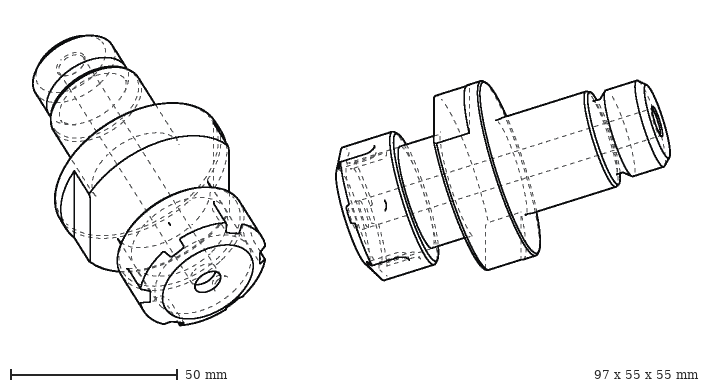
import cadquery as cq
import math


overall_length = 97.0
flange_start = 46.85
flange_end = 63.0
nut_start = 76.8

bore_radius = 4.3
bore_chamfer = 0.5

stud_radius = 13.6
stud_chamfer_length = 2.2
stud_chamfer_depth = 2.0
stud_cone_start = 12.0
stud_cone_length = 2.4
neck_radius = 11.5
neck_fillet = 0.5

shank_start = 17.0
shank_radius = 15.0
shank_lead_length = 1.0
shank_lead_depth = 0.5

undercut_start = 44.4
undercut_ramp_end = 45.6
undercut_depth = 0.2
undercut_corner_radius = 0.5
undercut_face_depth = 0.2
undercut_face_radius = 16.7

flange_diameter = 55.0
flange_radius = flange_diameter / 2
flange_front_chamfer = 0.6
flange_rear_round = 0.9
flat_start = 51.7
flat_distance = 23.0

spigot_radius = 16.0
spigot_fillet = 1.9

nut_radius = 21.0
nut_back_chamfer = 0.9
nut_cone_start = 93.5
nut_face_radius = 15.0
spigot_end = nut_cone_start

slot_count = 6
first_slot_angle = 90.0
slot_floor_half_width = 2.5
slot_wall_draft = 10.0
slot_arc_center = 85.65
slot_floor_radius = 18.1
slot_floor_fillet = 0.6
slot_edge_round = 0.5


def revolve_about_x(profile):
    """Turn a closed profile, drawn in the XZ plane with z as the radius."""
    return profile.close().revolve(360, (0, 0, 0), (1, 0, 0))


def arc_middle_offset(radius):
    """Distance, along each axis, from a square corner to the middle of its quarter round."""
    return radius * (1 - math.sqrt(0.5))


def make_holder_blank():
    undercut_radius = shank_radius - undercut_depth
    undercut_face = flange_start + undercut_face_depth
    corner_offset = arc_middle_offset(undercut_corner_radius)
    rear_round_offset = arc_middle_offset(flange_rear_round)
    fillet_offset = arc_middle_offset(spigot_fillet)
    profile = (
        cq.Workplane("XZ")
        .moveTo(bore_chamfer, bore_radius)
        .lineTo(0, bore_radius + bore_chamfer)
        .lineTo(0, stud_radius - stud_chamfer_depth)
        .lineTo(stud_chamfer_length, stud_radius)
        .lineTo(stud_cone_start, stud_radius)
        .lineTo(stud_cone_start + stud_cone_length, neck_radius)
        .lineTo(shank_start, neck_radius)
        .lineTo(shank_start, shank_radius - shank_lead_depth)
        .lineTo(shank_start + shank_lead_length, shank_radius)
        .lineTo(undercut_start, shank_radius)
        .lineTo(undercut_ramp_end, undercut_radius)
        .lineTo(undercut_face - undercut_corner_radius, undercut_radius)
        .threePointArc(
            (undercut_face - corner_offset, undercut_radius + corner_offset),
            (undercut_face, undercut_radius + undercut_corner_radius),
        )
        .lineTo(flange_start, undercut_face_radius)
        .lineTo(flange_start, flange_radius - flange_front_chamfer)
        .lineTo(flange_start + flange_front_chamfer, flange_radius)
        .lineTo(flange_end - flange_rear_round, flange_radius)
        .threePointArc(
            (flange_end - rear_round_offset, flange_radius - rear_round_offset),
            (flange_end, flange_radius - flange_rear_round),
        )
        .lineTo(flange_end, spigot_radius + spigot_fillet)
        .threePointArc(
            (flange_end + fillet_offset, spigot_radius + fillet_offset),
            (flange_end + spigot_fillet, spigot_radius),
        )
        .lineTo(spigot_end, spigot_radius)
        .lineTo(spigot_end, bore_radius)
    )
    return revolve_about_x(profile)


def round_neck(holder):
    """Round both inner corners of the neck behind the stud head."""
    margin = 0.1
    neck_corners = cq.selectors.BoxSelector(
        (stud_cone_start + margin, -neck_radius - margin, -neck_radius - margin),
        (shank_start + margin, neck_radius + margin, neck_radius + margin),
        boundingbox=True,
    )
    return holder.edges("%CIRCLE").edges(neck_corners).fillet(neck_fillet)


def cut_wrench_flats(holder):
    """Cut a flat on the -Y and +Y sides, open toward the nut."""
    flat_length = flange_end - flat_start
    cut_depth = flange_radius - flat_distance
    for side in (-1, 1):
        center = (flat_start + flat_length / 2, side * (flat_distance + cut_depth / 2), 0)
        cutter = cq.Workplane("XY", origin=center).box(flat_length, cut_depth, 2 * flange_radius)
        holder = holder.cut(cutter)
    return holder


def make_nut_blank():
    profile = (
        cq.Workplane("XZ")
        .moveTo(nut_start, spigot_radius)
        .lineTo(nut_start, nut_radius - nut_back_chamfer)
        .lineTo(nut_start + nut_back_chamfer, nut_radius)
        .lineTo(nut_cone_start, nut_radius)
        .lineTo(overall_length, nut_face_radius)
        .lineTo(overall_length, bore_radius)
        .lineTo(spigot_end, bore_radius)
        .lineTo(spigot_end, spigot_radius)
    )
    return revolve_about_x(profile)


def make_slot_cutter():
    """Round-ended slot with drafted walls, open toward +X, sunk into the +Z side of the nut."""
    open_end = overall_length + slot_floor_half_width
    cutter_height = nut_radius - slot_floor_radius + slot_edge_round
    return (
        cq.Workplane("XY", origin=(0, 0, slot_floor_radius))
        .moveTo(open_end, -slot_floor_half_width)
        .lineTo(slot_arc_center, -slot_floor_half_width)
        .threePointArc(
            (slot_arc_center - slot_floor_half_width, 0),
            (slot_arc_center, slot_floor_half_width),
        )
        .lineTo(open_end, slot_floor_half_width)
        .close()
        .extrude(cutter_height, taper=-slot_wall_draft)
        .faces("<Z")
        .edges("not >X")
        .fillet(slot_floor_fillet)
    )


def cut_spanner_slots(nut):
    cutter = make_slot_cutter()
    pitch = 360 / slot_count
    for index in range(slot_count):
        nut = nut.cut(cutter.rotate((0, 0, 0), (1, 0, 0), first_slot_angle + index * pitch))
    return nut


def round_slot_rims(nut):
    """Round the slot edges that lie on the nut's outer cylinder."""
    tolerance = 0.01
    cylinder_start = nut_start + nut_back_chamfer

    def is_slot_rim(edge):
        on_cylinder = all(
            abs(math.hypot(point.y, point.z) - nut_radius) < tolerance
            for point in edge.positions([0, 0.5, 1])
        )
        box = edge.BoundingBox()
        return on_cylinder and box.xlen > tolerance and box.xmin > cylinder_start + tolerance

    rims = [edge for edge in nut.edges().vals() if is_slot_rim(edge)]
    return nut.newObject(rims).fillet(slot_edge_round)


holder = cut_wrench_flats(round_neck(make_holder_blank()))
nut = round_slot_rims(cut_spanner_slots(make_nut_blank()))

result = cq.Compound.makeCompound([holder.val(), nut.val()])